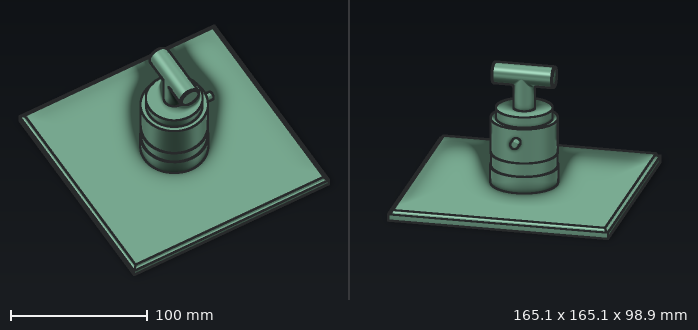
import cadquery as cq

PLATE_SIDE = 165.1
PLATE_THICKNESS = 7.6
COVE_RADIUS = 2.6

BASE_RING_DIAMETER = 49.9
BAND_DIAMETER = 48.7
SLEEVE_DIAMETER = 49.4
BASE_RING_TOP = 20.5
BAND_TOP = 30.9
SLEEVE_TOP = 57.5
COLLAR_DIAMETER = 41.6
COLLAR_TOP = 65.4

OVERALL_HEIGHT = 98.9
BAR_DIAMETER = 16.0
STEM_DIAMETER = 15.8
BAR_LENGTH = 45.9
BAR_END_CHAMFER = 0.8
HANDLE_BLEND = 2.0
BAR_AXIS_Z = OVERALL_HEIGHT - BAR_DIAMETER / 2

PIN_DIAMETER = 6.3
PIN_TIP_Y = 32.0
PIN_AXIS_Z = 47.4
PIN_TIP_FILLET = 1.2


def cove_prism(plane):
    """Plate cross-section, extruded across the full plate along the plane's normal."""
    half_side = PLATE_SIDE / 2
    half_top = half_side - COVE_RADIUS
    ledge_z = PLATE_THICKNESS - COVE_RADIUS
    arc_depth = COVE_RADIUS * 0.5 ** 0.5
    return (
        cq.Workplane(plane)
        .moveTo(-half_side, 0)
        .lineTo(half_side, 0)
        .lineTo(half_side, ledge_z)
        .threePointArc((half_side - arc_depth, PLATE_THICKNESS - arc_depth), (half_top, PLATE_THICKNESS))
        .lineTo(-half_top, PLATE_THICKNESS)
        .threePointArc((arc_depth - half_side, PLATE_THICKNESS - arc_depth), (-half_side, ledge_z))
        .close()
        .extrude(half_side, both=True)
    )


def make_plate():
    """Crossing two moulded prisms mitres the cove at the four corners."""
    return cove_prism("XZ").intersect(cove_prism("YZ"))


def disc(diameter, bottom, top):
    return cq.Workplane("XY").workplane(offset=bottom).circle(diameter / 2).extrude(top - bottom)


def make_body():
    base_ring = disc(BASE_RING_DIAMETER, PLATE_THICKNESS, BASE_RING_TOP)
    band = disc(BAND_DIAMETER, BASE_RING_TOP, BAND_TOP)
    sleeve = disc(SLEEVE_DIAMETER, BAND_TOP, SLEEVE_TOP)
    collar = disc(COLLAR_DIAMETER, SLEEVE_TOP, COLLAR_TOP)
    return base_ring.union(band).union(sleeve).union(collar)


def make_handle():
    bar = (
        cq.Workplane("YZ", origin=(-BAR_LENGTH / 2, 0, BAR_AXIS_Z))
        .circle(BAR_DIAMETER / 2)
        .extrude(BAR_LENGTH)
        .faces("<X or >X")
        .chamfer(BAR_END_CHAMFER)
    )
    stem = disc(STEM_DIAMETER, COLLAR_TOP, BAR_AXIS_Z)
    return bar.union(stem).edges("%BSPLINE").fillet(HANDLE_BLEND)


def make_pin():
    return (
        cq.Workplane("XZ")
        .center(0, PIN_AXIS_Z)
        .circle(PIN_DIAMETER / 2)
        .extrude(-PIN_TIP_Y)
        .faces(">Y")
        .edges()
        .fillet(PIN_TIP_FILLET)
    )


result = make_plate().union(make_body()).union(make_handle()).union(make_pin())